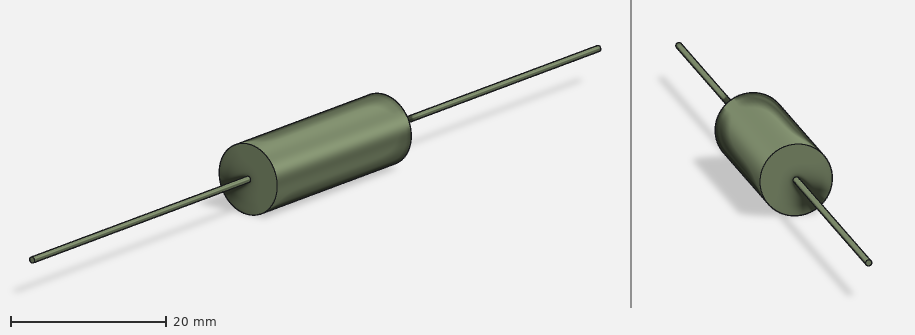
import cadquery as cq

overall_length = 118.0
body_length = 28.0
body_diameter = 9.5
lead_diameter = 0.8


def centred_cylinder(diameter, length):
    """Return a cylinder along Y, centred on the origin."""
    return cq.Workplane("XZ", origin=(0, length / 2, 0)).circle(diameter / 2).extrude(length)


body = centred_cylinder(body_diameter, body_length)
leads = centred_cylinder(lead_diameter, overall_length)

result = body.union(leads)